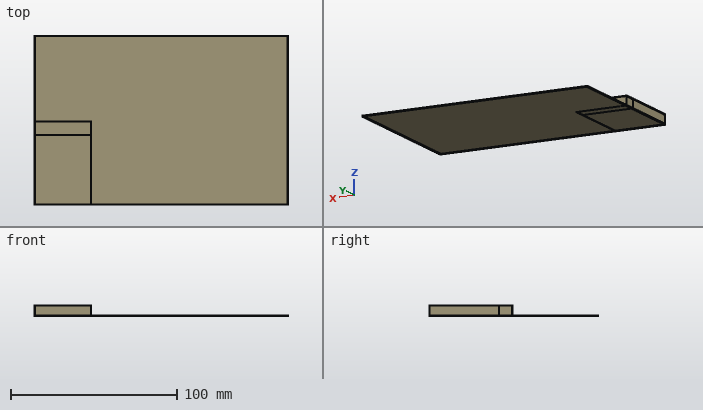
import cadquery as cq

sheet_length = 152.4
sheet_width = 101.6
sheet_thickness = 0.41

block_height = 6.0
block_width = 34.0
main_block_length = 42.0
end_block_length = 8.0


def corner_box(length_x, length_y, height, start_y, base_z):
    """Box with its left face at X = 0, starting at start_y and standing on base_z."""
    return (
        cq.Workplane("XY")
        .box(length_x, length_y, height, centered=False)
        .translate((0, start_y, base_z))
    )


sheet = corner_box(sheet_length, sheet_width, sheet_thickness, 0, 0)

main_block = corner_box(block_width, main_block_length, block_height, 0, sheet_thickness)

end_block = corner_box(
    block_width, end_block_length, block_height, main_block_length, sheet_thickness
)

result = cq.Compound.makeCompound([sheet.val(), main_block.val(), end_block.val()])